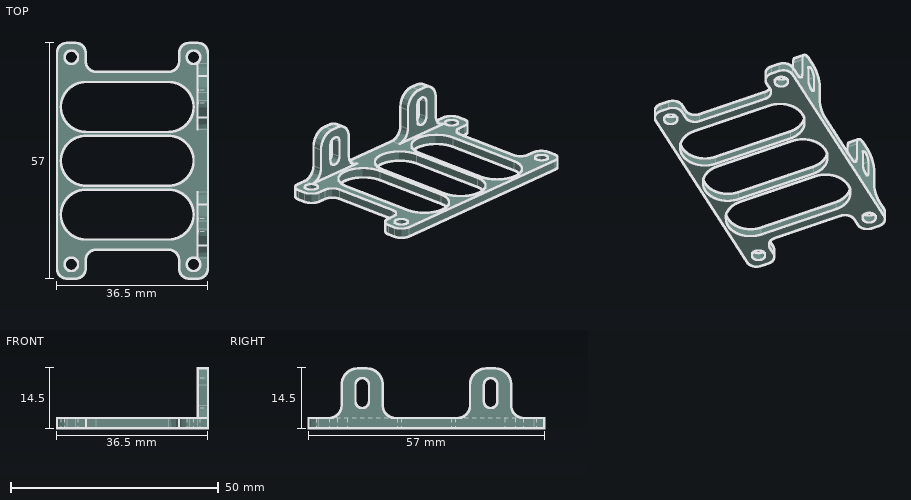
import cadquery as cq

plate_width = 36.5
plate_length = 57.0
plate_thickness = 2.5
lug_size = 7.0
corner_radius = 2.5
screw_diameter = 3.2
hole_inset = lug_size / 2

window_length = 32.0
window_width = 12.0
window_count = 3
window_web = 1.0
window_edge_margin = 1.0

ear_thickness = 2.5
ear_width = 10.0
ear_top = 14.5
ear_top_radius = 4.0
ear_root_radius = 3.0
ear_spacing = 31.0
ear_slot_travel = 4.0

overall_half_width = plate_width / 2
overall_half_length = plate_length / 2


def make_plate():
    """H-shaped plate: a rectangle with both ends cut away between the corner lugs."""
    notch_width = plate_width - 2 * lug_size
    notch_center_y = overall_half_length - lug_size / 2
    plate = cq.Workplane("XY").rect(plate_width, plate_length).extrude(plate_thickness)
    notches = (
        cq.Workplane("XY")
        .pushPoints([(0, -notch_center_y), (0, notch_center_y)])
        .rect(notch_width, lug_size)
        .extrude(plate_thickness)
    )
    return plate.cut(notches).edges("|Z").fillet(corner_radius)


def cut_corner_holes(body):
    """Screw hole in the middle of each corner lug."""
    holes = (
        cq.Workplane("XY")
        .rect(plate_width - 2 * hole_inset, plate_length - 2 * hole_inset, forConstruction=True)
        .vertices()
        .circle(screw_diameter / 2)
        .extrude(plate_thickness)
    )
    return body.cut(holes)


def cut_windows(body):
    """Row of round-ended windows, set close to the -X edge."""
    center_x = -overall_half_width + window_edge_margin + window_length / 2
    windows = (
        cq.Workplane("XY")
        .center(center_x, 0)
        .rarray(1, window_width + window_web, 1, window_count)
        .slot2D(window_length, window_width)
        .extrude(plate_thickness)
    )
    return body.cut(windows)


def make_ear(center_y):
    """Slotted upright ear with a rounded top and flared root, centred at center_y."""
    half_width = ear_width / 2
    half_root = half_width + ear_root_radius
    root_top = plate_thickness + ear_root_radius
    shoulder = ear_top - ear_top_radius
    slot_center_z = shoulder - ear_slot_travel / 2
    plane = cq.Workplane("YZ", origin=(overall_half_width - ear_thickness, center_y, 0))
    ear = (
        plane.moveTo(-half_root, 0)
        .lineTo(half_root, 0)
        .lineTo(half_root, plate_thickness)
        .radiusArc((half_width, root_top), ear_root_radius)
        .lineTo(half_width, shoulder)
        .radiusArc((half_width - ear_top_radius, ear_top), -ear_top_radius)
        .lineTo(-half_width + ear_top_radius, ear_top)
        .radiusArc((-half_width, shoulder), -ear_top_radius)
        .lineTo(-half_width, root_top)
        .radiusArc((-half_root, plate_thickness), ear_root_radius)
        .close()
        .extrude(ear_thickness)
    )
    slot = (
        plane.center(0, slot_center_z)
        .slot2D(ear_slot_travel + screw_diameter, screw_diameter, 90)
        .extrude(ear_thickness)
    )
    return ear.cut(slot)


result = make_plate()
for ear_y in (-ear_spacing / 2, ear_spacing / 2):
    result = result.union(make_ear(ear_y))
result = cut_corner_holes(result)
result = cut_windows(result)